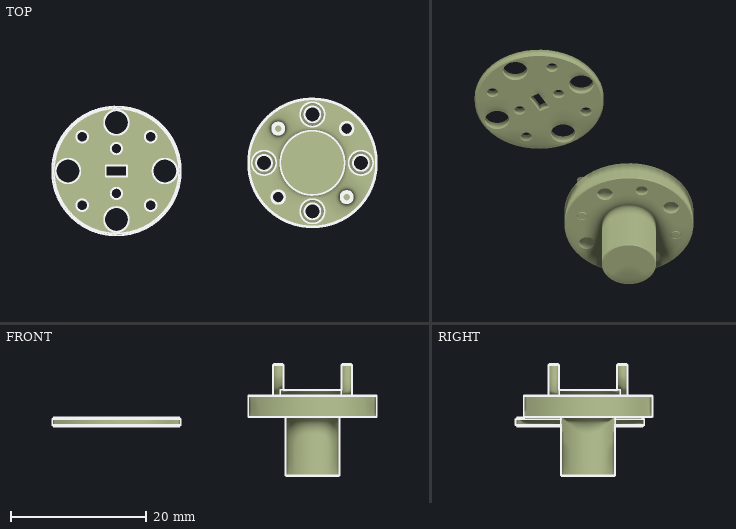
import cadquery as cq
import math

overall_length = 48.05
disc_diameter = 19.05
bolt_circle_radius = 7.15
large_hole_diameter = 3.6

shim_thickness = 1.35
shim_bottom = 7.3
shim_chamfer = 0.3
dowel_hole_diameter = 1.7
inner_hole_diameter = 1.65
inner_hole_offset = 3.3
window_length = 3.1
window_width = 1.6

flange_x = overall_length - disc_diameter
flange_y = 1.2
flange_thickness = 3.3
flange_chamfer = 0.15
hub_diameter = 8.0
hub_length = 8.65
hub_chamfer = 0.15
boss_diameter = 9.5
boss_height = 0.75
screw_hole_diameter = 2.3
counterbore_depth = 0.5
clearance_hole_diameter = 1.8
dowel_hole_chamfer = 0.12
flange_top = hub_length + flange_thickness

pin_diameter = 1.6
pin_top = 16.55
pin_chamfer = 0.2

SCREW_ANGLES = (0, 90, 180, 270)
PIN_ANGLES = (135, 315)
CLEARANCE_ANGLES = (45, 225)


def on_bolt_circle(angles):
    """Points on the bolt circle at the given angles in degrees."""
    return [
        (
            bolt_circle_radius * math.cos(math.radians(angle)),
            bolt_circle_radius * math.sin(math.radians(angle)),
        )
        for angle in angles
    ]


def make_shim():
    """Thin round plate with a waveguide window and three sets of holes."""
    plate = cq.Workplane("XY").circle(disc_diameter / 2).extrude(shim_thickness)
    plate = plate.edges().chamfer(shim_chamfer)
    face = plate.faces(">Z").workplane(origin=(0, 0, 0))
    plate = face.pushPoints(on_bolt_circle(SCREW_ANGLES)).hole(large_hole_diameter)
    face = plate.faces(">Z").workplane(origin=(0, 0, 0))
    plate = face.pushPoints(on_bolt_circle(PIN_ANGLES + CLEARANCE_ANGLES)).hole(dowel_hole_diameter)
    face = plate.faces(">Z").workplane(origin=(0, 0, 0))
    plate = face.pushPoints([(0, inner_hole_offset), (0, -inner_hole_offset)]).hole(inner_hole_diameter)
    window = cq.Workplane("XY").rect(window_length, window_width).extrude(shim_thickness)
    return plate.cut(window).translate((0, 0, shim_bottom))


def chamfered_hole(point, diameter):
    """Cutter for a hole through the flange, chamfered at the top face."""
    hole = cq.Workplane("XY").center(*point).circle(diameter / 2).extrude(flange_top)
    cone = cq.Solid.makeCone(
        diameter / 2,
        diameter / 2 + dowel_hole_chamfer,
        dowel_hole_chamfer,
        pnt=cq.Vector(*point, flange_top - dowel_hole_chamfer),
    )
    return hole.union(cq.Workplane(cone))


def make_flange():
    """Round flange with a hub below, a boss above, screw holes and dowel holes."""
    disc = cq.Workplane("XY").workplane(offset=hub_length).circle(disc_diameter / 2)
    disc = disc.extrude(flange_thickness).edges().chamfer(flange_chamfer)
    hub = cq.Workplane("XY").circle(hub_diameter / 2).extrude(hub_length)
    hub = hub.faces("<Z").edges().chamfer(hub_chamfer)
    boss = cq.Workplane("XY").workplane(offset=flange_top)
    boss = boss.circle(boss_diameter / 2).extrude(boss_height)

    screw_holes = cq.Workplane("XY").workplane(offset=flange_top)
    screw_holes = screw_holes.pushPoints(on_bolt_circle(SCREW_ANGLES))
    bores = screw_holes.circle(screw_hole_diameter / 2).extrude(-flange_thickness)
    counterbores = screw_holes.circle(large_hole_diameter / 2).extrude(-counterbore_depth)

    flange = disc.union(hub).union(boss).cut(bores).cut(counterbores)
    for point in on_bolt_circle(CLEARANCE_ANGLES):
        flange = flange.cut(chamfered_hole(point, clearance_hole_diameter))
    for point in on_bolt_circle(PIN_ANGLES):
        flange = flange.cut(chamfered_hole(point, pin_diameter))
    return flange.translate((flange_x, flange_y, 0))


def make_pin(point):
    """Dowel pin chamfered at both ends."""
    pin = cq.Workplane("XY").workplane(offset=hub_length).center(*point)
    pin = pin.circle(pin_diameter / 2).extrude(pin_top - hub_length)
    return pin.edges("%CIRCLE").chamfer(pin_chamfer).translate((flange_x, flange_y, 0))


shim = make_shim()
flange = make_flange()
pins = []
for pin_point in on_bolt_circle(PIN_ANGLES):
    pins.append(make_pin(pin_point).val())

result = cq.Compound.makeCompound([shim.val(), flange.val(), *pins])